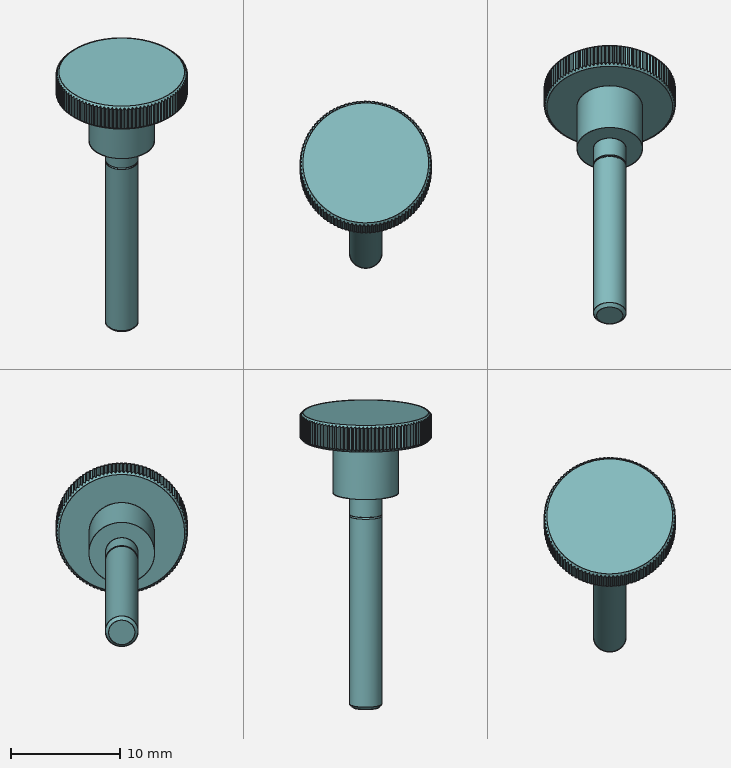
import cadquery as cq
import math

head_diameter = 12.0
head_height = 2.5
head_chamfer = 0.25
groove_count = 100
knurl_depth = 0.12

collar_diameter = 6.0
collar_height = 5.0

shank_diameter = 3.0
shank_length = 20.0
neck_length = 2.0
neck_groove_depth = 0.27
neck_groove_angle = 30.0
tip_chamfer = 0.3

head_radius = head_diameter / 2
head_bottom = shank_length + collar_height
total_height = head_bottom + head_height


def turned_body():
    """Head, collar and shank as one profile revolved about Z."""
    collar_radius = collar_diameter / 2
    shank_radius = shank_diameter / 2
    head_face_radius = head_radius - head_chamfer
    neck_bottom = shank_length - neck_length
    neck_groove_width = neck_groove_depth * math.tan(math.radians(neck_groove_angle))
    profile = [
        (0, 0),
        (shank_radius - tip_chamfer, 0),
        (shank_radius, tip_chamfer),
        (shank_radius, neck_bottom - neck_groove_width),
        (shank_radius - neck_groove_depth, neck_bottom),
        (shank_radius, neck_bottom),
        (shank_radius, shank_length),
        (collar_radius, shank_length),
        (collar_radius, head_bottom),
        (head_face_radius, head_bottom),
        (head_radius, head_bottom + head_chamfer),
        (head_radius, total_height - head_chamfer),
        (head_face_radius, total_height),
        (0, total_height),
    ]
    outline = cq.Workplane("YZ").polyline([(-radius, height) for radius, height in profile]).close()
    return outline.revolve(360, (0, 0), (0, 1))


def knurled_prism():
    """Prism of the head's height whose round outline is notched by evenly spaced 90 degree V grooves."""
    pitch = 2 * math.pi / groove_count
    half_groove_angle = knurl_depth / head_radius
    root_radius = head_radius - knurl_depth

    def at(radius, angle):
        """Point in the XY plane at a distance and angle from the axis."""
        return (radius * math.cos(angle), radius * math.sin(angle))

    outline = cq.Workplane("XY").workplane(offset=head_bottom)
    outline = outline.moveTo(*at(head_radius, half_groove_angle - pitch))
    for index in range(groove_count):
        groove_angle = index * pitch
        land_start = groove_angle - pitch + half_groove_angle
        land_end = groove_angle - half_groove_angle
        outline = outline.threePointArc(
            at(head_radius, (land_start + land_end) / 2),
            at(head_radius, land_end),
        )
        outline = outline.lineTo(*at(root_radius, groove_angle))
        outline = outline.lineTo(*at(head_radius, groove_angle + half_groove_angle))
    return outline.close().extrude(head_height)


def knurled_zone():
    """Knurled prism together with everything below the head."""
    below = cq.Workplane("XY").circle(head_radius).extrude(head_bottom)
    return knurled_prism().union(below)


result = turned_body().intersect(knurled_zone())